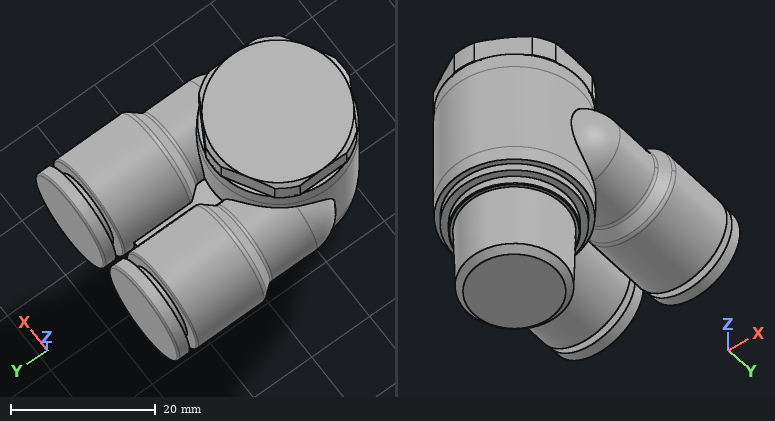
import cadquery as cq

thread_tip_radius = 7.1
thread_low_radius = 8.2
thread_top_radius = 8.5
lower_collar_radius = 9.1
upper_collar_radius = 10.25
body_end_radius = 11.1
body_radius = 11.25

thread_chamfer_z = 1.0
thread_top_z = 12.0
lower_collar_top_z = 13.5
upper_collar_top_z = 14.8
lower_taper_top_z = 17.25
upper_taper_base_z = 33.2
body_top_z = 35.8
overall_height = 39.8
lower_collar_chamfer = 0.15

hex_across_flats = 21.0
hex_corner_radius = body_radius
head_chamfer_height = 0.3
head_top_radius = hex_across_flats / 2

tube_spacing = 17.0
tube_axis_z = 25.3
tube_radius = 6.5
tube_dome_y = 4.5
socket_radius = 8.15
socket_cone_start_y = 12.5
socket_cone_end_y = 14.5
socket_end_y = 26.4
cone_root_fillet = 0.8
cone_rim_fillet = 1.0
socket_end_fillet = 0.25

ring_neck_radius = 5.9
ring_radius = 8.0
ring_start_y = 27.55
overall_depth = 40.83
ring_end_y = overall_depth - hex_corner_radius
ring_end_fillet = 0.3

web_end_y = 24.5
web_thickness = 2.0


def make_body():
    """Tapered thread, two collars and the main cylinder with tapered ends."""
    profile = [
        (0, 0),
        (thread_tip_radius, 0),
        (thread_low_radius, thread_chamfer_z),
        (thread_top_radius, thread_top_z),
        (lower_collar_radius - lower_collar_chamfer, thread_top_z),
        (lower_collar_radius, thread_top_z + lower_collar_chamfer),
        (lower_collar_radius, lower_collar_top_z),
        (upper_collar_radius, lower_collar_top_z),
        (upper_collar_radius, upper_collar_top_z),
        (body_end_radius, upper_collar_top_z),
        (body_radius, lower_taper_top_z),
        (body_radius, upper_taper_base_z),
        (body_end_radius, body_top_z),
        (0, body_top_z),
    ]
    return cq.Workplane("XZ").polyline(profile).close().revolve(360, (0, 0), (0, 1))


def make_head():
    """Hexagon with flats facing +X and -X, its corners turned round and chamfered."""
    hexagon = (
        cq.Workplane("XY")
        .workplane(offset=body_top_z)
        .polygon(6, hex_across_flats, circumscribed=True)
        .extrude(overall_height - body_top_z)
    )
    turned_profile = [
        (0, body_top_z),
        (hex_corner_radius, body_top_z),
        (hex_corner_radius, overall_height - head_chamfer_height),
        (head_top_radius, overall_height),
        (0, overall_height),
    ]
    turned = cq.Workplane("XZ").polyline(turned_profile).close().revolve(360, (0, 0), (0, 1))
    return hexagon.intersect(turned)


def y_cylinder(radius, start_y, end_y):
    """Cylinder about the Y axis between two Y positions."""
    return cq.Workplane("XZ", origin=(0, start_y, 0)).circle(radius).extrude(start_y - end_y)


def edge_at(y, radius):
    """Selector for the circular edge of a given radius at a given Y position."""
    reach = radius + 0.01
    slack = 0.01
    return cq.selectors.BoxSelector((-reach, y - slack, -reach), (reach, y + slack, reach), boundingbox=True)


def make_tube():
    """Tube along Y: domed inner end, cone, wide socket and release ring."""
    shell_profile = [
        (0, tube_dome_y),
        (tube_radius, tube_dome_y),
        (tube_radius, socket_cone_start_y),
        (socket_radius, socket_cone_end_y),
        (socket_radius, socket_end_y),
        (0, socket_end_y),
    ]
    shell = (
        cq.Workplane("XY")
        .polyline(shell_profile)
        .close()
        .revolve(360, (0, 0), (0, 1))
        .edges(edge_at(socket_cone_start_y, tube_radius))
        .fillet(cone_root_fillet)
        .edges(edge_at(socket_cone_end_y, socket_radius))
        .fillet(cone_rim_fillet)
        .edges(edge_at(socket_end_y, socket_radius))
        .fillet(socket_end_fillet)
    )
    dome = cq.Workplane("XY", origin=(0, tube_dome_y, 0)).sphere(tube_radius)
    neck = y_cylinder(ring_neck_radius, socket_end_y, ring_start_y)
    ring = y_cylinder(ring_radius, ring_start_y, ring_end_y).edges(">Y").fillet(ring_end_fillet)
    return shell.union(dome).union(neck).union(ring)


def make_web():
    """Plate between the tube axes, from the body axis out to the sockets."""
    return cq.Workplane("XY", origin=(0, 0, tube_axis_z)).box(
        tube_spacing, web_end_y, web_thickness, centered=(True, False, True)
    )


result = make_body().union(make_head()).union(make_web())
tube = make_tube()
for side in (-1, 1):
    result = result.union(tube.translate((side * tube_spacing / 2, 0, tube_axis_z)))